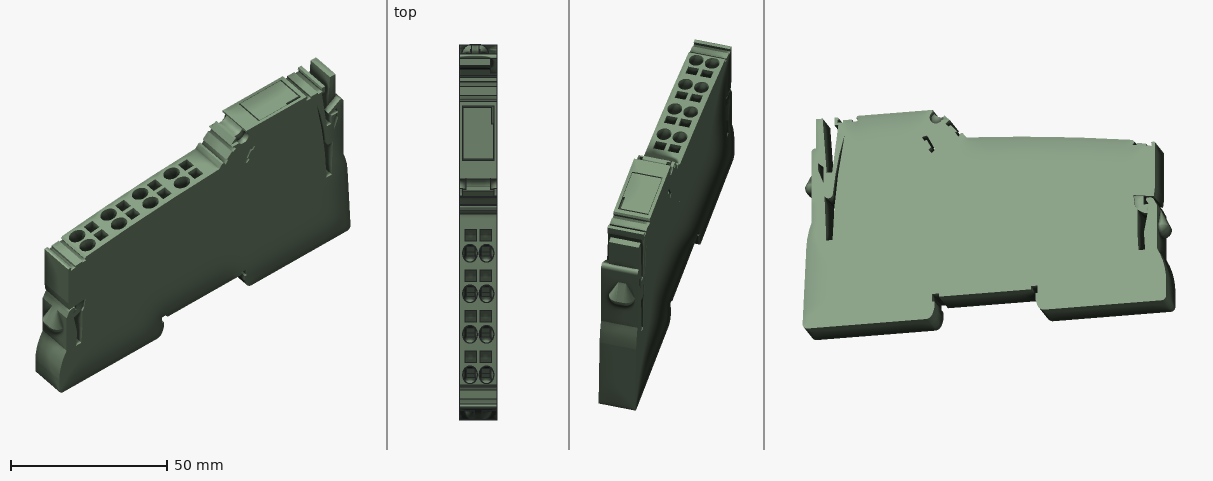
import cadquery as cq


WIDTH = 12.1
LENGTH = 120.1
HEIGHT = 70.4
HALF_LENGTH = LENGTH / 2

RAIL_CENTER = -0.2
RAIL_LIP = 16.7
RAIL_UNDERCUT = 17.4
RAIL_STEP = 15.3
RAIL_ROOF = 7.2
RAIL_POCKET = 8.3
RAIL_LIP_TOP = 5.8
RAIL_LIP_BASE = 3.6
RAIL_CORNER_START = 19.1
FOOT_FILLET = 1.6

SEAM_BACK = (46.1, 64.3)
SEAM_CREST = (20.2, 64.3)
SEAM_FOOT = (9.2, 44.1)
SEAM_FRONT = (-56.0, 35.3)

BACK_ARM_FACE = 57.0
FRONT_ARM_FACE = -57.0
BACK_HOOK_TOP = (55.6, 60.5)
BACK_HOOK_TIP = (53.5, 58.1)
BACK_CATCH = [(53.5, 57.5), (54.9, 57.5)]
BACK_CONTACT = [(53.1, 48.6), (52.7, 44.2)]
FRONT_CATCH = [(-54.2, 33.1), (-54.2, 31.8), (-53.9, 29.9)]
FRONT_LATCH_BACK = [(-50.6, 31.5), (-49.7, 32.5)]
FRONT_LATCH_ROOT = -49.2
FRONT_LATCH_NOSE = -52.4
FRONT_LATCH_INSET = 0.6

FINGER_START = 3.8
FINGER_CLEARANCE_BASE = 55.5
LEVER_FRONT = 51.6

GRIP_RADIUS = 3.0
GRIP_RIB = 2.5
GRIP_LENGTH = 5.9
BACK_GRIP_X = -1.0
BACK_GRIP_Z = 48.6
FRONT_GRIP_X = 0.0
FRONT_GRIP_Z = 26.3
FRONT_ARM_BEVEL_TOP = 33.9

HINGE_BORE_CENTER = (15.9, 67.9)
HINGE_BORE_RADIUS = 2.2
HINGE_CORE_WIDTH = 7.9
HINGE_LIP_WIDTH = 10.1
HINGE_SHELF = 66.8
HINGE_LIP_FRONT = 11.4

TERMINAL_ROWS = 4
TERMINAL_PITCH = 13.0
FIRST_SQUARE_Y = -1.0
SQUARE_X = 2.4
SQUARE_SIZE = 3.6
SQUARE_DEPTH = 6.0
SQUARE_FLOOR_RISE = 0.2
ROUND_OFFSET = 5.8
ROUND_X = 2.6
ROUND_LENGTH = 5.6
ROUND_WIDTH = 4.7
ROUND_DEPTH = 8.4
ROUND_FLOOR_WIDTH = 2.8
ROUND_FLOOR_X = 2.4
ROUND_STEP_HEIGHT = 0.4
ROUND_STEP_OFFSET = 0.4
ROUND_BACK_SLOPE = 0.7
ROUND_FRONT_SLOPE = 1.9
TOP_BACK = (5.9, 60.2)
TOP_MIDDLE = (-21.6, 58.1)
TOP_FRONT = (-48.9, 54.9)

MARKER_CENTER_Y = 31.7
RECESS_LENGTH = 17.5
RECESS_WIDTH = 10.1
MARKER_DEPTH = 1.2
MARKER_END_GAP = 0.5
MARKER_SIDE_GAP = 0.1
PRY_NOTCH_WIDTH = 0.7
PRY_NOTCH_LENGTH = 5.3


def seam_z(y):
    """Height of the long straight front stretch of the seam at y."""
    slope = (SEAM_FOOT[1] - SEAM_FRONT[1]) / (SEAM_FOOT[0] - SEAM_FRONT[0])
    return SEAM_FRONT[1] + slope * (y - SEAM_FRONT[0])


def steep_seam_y(z):
    """Y of the steep stretch of the seam at height z."""
    slope = (SEAM_CREST[0] - SEAM_FOOT[0]) / (SEAM_CREST[1] - SEAM_FOOT[1])
    return SEAM_FOOT[0] + slope * (z - SEAM_FOOT[1])


def across(outline, x_from=-WIDTH / 2, x_to=WIDTH / 2):
    """Close a Y-Z outline and extrude it along X between two planes."""
    return outline.close().extrude(x_to - x_from).translate((x_from, 0, 0))


def box(x_from, x_to, y_from, y_to, z_from, z_to):
    block = cq.Workplane("XY").box(x_to - x_from, y_to - y_from, z_to - z_from, centered=False)
    return block.translate((x_from, y_from, z_from))


def rail_side(side):
    """Points of one side of the rail cutout, from its lip up to its roof."""
    offsets = [
        (RAIL_LIP, RAIL_LIP_BASE),
        (RAIL_LIP, RAIL_LIP_TOP),
        (RAIL_UNDERCUT, RAIL_LIP_TOP),
        (RAIL_UNDERCUT, RAIL_POCKET),
        (RAIL_STEP, RAIL_POCKET),
        (RAIL_STEP, RAIL_ROOF),
    ]
    return [(RAIL_CENTER + side * y, z) for y, z in offsets]


def grip(x, y, z, side):
    """Teardrop grip on an arm face: a rib between two halves of a cone on a ball."""

    def profile():
        return (
            cq.Workplane("YZ")
            .moveTo(0, GRIP_LENGTH)
            .lineTo(side * GRIP_RADIUS, 0)
            .radiusArc((0, -GRIP_RADIUS), side * GRIP_RADIUS)
            .close()
        )

    rib = profile().extrude(GRIP_RIB / 2, both=True)
    teardrop = profile().revolve(360, (0, 0, 0), (0, 1, 0))
    solid = rib
    for end in (-1, 1):
        solid = solid.union(teardrop.translate((end * GRIP_RIB / 2, 0, 0)))
    outer_half = box(
        -WIDTH / 2, WIDTH / 2,
        min(0, side * GRIP_RADIUS), max(0, side * GRIP_RADIUS),
        -GRIP_RADIUS, GRIP_LENGTH,
    )
    return solid.intersect(outer_half).translate((x, y, z))


def make_housing():
    corner_y = RAIL_CORNER_START
    bevel_base = FRONT_GRIP_Z + GRIP_LENGTH
    bevel_top_y = FRONT_ARM_FACE + (FRONT_ARM_BEVEL_TOP - bevel_base) * GRIP_RADIUS / GRIP_LENGTH
    outline = (
        cq.Workplane("YZ")
        .moveTo(HALF_LENGTH, 0)
        .lineTo(58.7, 27.4)
        .tangentArcPoint((BACK_ARM_FACE, 35.5), relative=False)
        .lineTo(BACK_ARM_FACE, 59.2)
        .tangentArcPoint(BACK_HOOK_TOP, relative=False)
        .lineTo(*BACK_HOOK_TIP)
        .polyline(BACK_CATCH, includeCurrent=True)
        .lineTo(54.9, 53.2)
        .polyline(BACK_CONTACT, includeCurrent=True)
        .lineTo(52.2, 32.4)
        .lineTo(52.2, 29.2)
        .lineTo(50.1, 29.2)
        .threePointArc((48.6, 48.0), (46.4, 62.5))
        .lineTo(*SEAM_BACK)
        .lineTo(*SEAM_CREST)
        .lineTo(steep_seam_y(61.9), 61.9)
        .lineTo(20.5, 61.5)
        .lineTo(19.8, 60.2)
        .lineTo(19.0, 60.4)
        .lineTo(17.5, 57.8)
        .lineTo(18.4, 57.0)
        .lineTo(17.3, 55.8)
        .lineTo(steep_seam_y(56.9), 56.9)
        .lineTo(*SEAM_FOOT)
        .lineTo(FRONT_LATCH_ROOT, seam_z(FRONT_LATCH_ROOT))
        .polyline(FRONT_LATCH_BACK[::-1], includeCurrent=True)
        .lineTo(-50.6, 23.8)
        .lineTo(-50.9, 17.5)
        .lineTo(-53.1, 17.5)
        .lineTo(-52.7, 23.4)
        .polyline(FRONT_CATCH[::-1], includeCurrent=True)
        .lineTo(-53.3, 34.2)
        .lineTo(-53.6, 35.1)
        .lineTo(-54.8, 35.1)
        .threePointArc((-55.7, 34.6), (bevel_top_y, FRONT_ARM_BEVEL_TOP))
        .lineTo(FRONT_ARM_FACE, bevel_base)
        .lineTo(FRONT_ARM_FACE, 17.7)
        .threePointArc((-59.1, 13.0), (-HALF_LENGTH, 6.5))
        .lineTo(-HALF_LENGTH, 0)
        .lineTo(RAIL_CENTER - corner_y, 0)
        .threePointArc((-18.1, 0.7), (-17.5, 1.7))
        .polyline(rail_side(-1), includeCurrent=True)
        .polyline(rail_side(1)[::-1], includeCurrent=True)
        .lineTo(17.0, 1.7)
        .threePointArc((17.7, 0.7), (RAIL_CENTER + corner_y, 0))
    )
    body = across(outline)
    for y in (-HALF_LENGTH, HALF_LENGTH):
        corner = cq.selectors.BoxSelector((-WIDTH, y - 0.1, -0.1), (WIDTH, y + 0.1, 0.1))
        body = body.edges(corner).fillet(FOOT_FILLET)

    finger = cq.Workplane("YZ").polyline(
        [BACK_HOOK_TOP, (50.9, 57.3), (51.3, 56.0), *BACK_CATCH]
    )
    body = body.union(across(finger, FINGER_START))
    body = body.union(grip(BACK_GRIP_X, BACK_ARM_FACE, BACK_GRIP_Z, 1))
    return body.union(grip(FRONT_GRIP_X, FRONT_ARM_FACE, FRONT_GRIP_Z, -1))


def connector_blank():
    outline = (
        cq.Workplane("YZ")
        .moveTo(55.6, HEIGHT)
        .lineTo(53.3, HEIGHT)
        .lineTo(52.0, 52.0)
        .lineTo(50.2, 52.0)
        .lineTo(48.2, 67.9)
        .lineTo(49.5, 67.9)
        .lineTo(49.5, HEIGHT)
        .lineTo(48.3, HEIGHT)
        .lineTo(48.0, 69.7)
        .lineTo(48.4, 69.4)
        .lineTo(48.4, 68.6)
        .lineTo(46.6, 68.6)
        .lineTo(46.6, 69.3)
        .lineTo(43.7, 69.3)
        .lineTo(43.7, 68.6)
        .lineTo(41.9, 68.6)
        .lineTo(41.9, 69.4)
        .lineTo(42.3, 69.7)
        .lineTo(41.9, HEIGHT)
        .lineTo(17.0, HEIGHT)
        .lineTo(17.0, 69.8)
        .threePointArc((16.1, 68.8), (14.7, 68.3))
        .lineTo(13.2, 68.5)
        .lineTo(HINGE_LIP_FRONT, 66.5)
        .lineTo(12.9, 65.3)
        .lineTo(11.8, 64.4)
        .lineTo(11.0, 64.7)
        .lineTo(8.9, 62.5)
        .lineTo(9.6, 62.2)
        .lineTo(8.5, 60.7)
        .lineTo(7.8, 61.7)
        .lineTo(7.1, 61.7)
        .lineTo(*TOP_BACK)
        .threePointArc(TOP_MIDDLE, TOP_FRONT)
        .lineTo(-49.6, 54.3)
        .lineTo(-49.0, 53.2)
        .lineTo(-50.5, 53.1)
        .lineTo(-50.5, 53.7)
        .lineTo(-53.3, 53.3)
        .lineTo(-53.5, 52.6)
        .lineTo(-55.2, 52.4)
        .lineTo(-55.2, 53.2)
        .lineTo(-55.0, 53.6)
        .lineTo(-55.8, 53.8)
        .lineTo(-56.3, 53.6)
        .lineTo(-56.3, 38.3)
        .lineTo(*SEAM_FRONT)
        .lineTo(*SEAM_FOOT)
        .lineTo(*SEAM_CREST)
        .lineTo(*SEAM_BACK)
        .threePointArc((48.5, 54.5), (50.0, 44.7))
        .threePointArc((51.3, 43.4), BACK_CONTACT[1])
        .lineTo(*BACK_CONTACT[0])
        .lineTo(53.1, 54.0)
        .lineTo(54.9, 55.5)
        .polyline(BACK_CATCH[::-1], includeCurrent=True)
        .lineTo(*BACK_HOOK_TIP)
        .lineTo(*BACK_HOOK_TOP)
    )
    return across(outline)


def front_latch():
    """Hook below the front of the connector, set in from both outer faces."""
    outline = (
        cq.Workplane("YZ")
        .moveTo(FRONT_LATCH_NOSE, seam_z(FRONT_LATCH_NOSE))
        .lineTo(FRONT_LATCH_NOSE, 32.9)
        .polyline(FRONT_CATCH, includeCurrent=True)
        .threePointArc((-52.1, 30.4), FRONT_LATCH_BACK[0])
        .lineTo(*FRONT_LATCH_BACK[1])
        .lineTo(FRONT_LATCH_ROOT, seam_z(FRONT_LATCH_ROOT))
    )
    half_width = WIDTH / 2 - FRONT_LATCH_INSET
    return across(outline, -half_width, half_width)


def hinge_side_cuts():
    """Bore ends beside the hinge core and lower shelves at the outer faces."""
    bore_y, bore_z = HINGE_BORE_CENTER
    cuts = []
    for side in (-1, 1):
        core = side * HINGE_CORE_WIDTH / 2
        lip = side * HINGE_LIP_WIDTH / 2
        face = side * WIDTH / 2
        bore = cq.Workplane("YZ").center(bore_y, bore_z).circle(HINGE_BORE_RADIUS)
        cuts.append(bore.extrude(face - core).translate((core, 0, 0)))
        cuts.append(box(min(lip, face), max(lip, face), HINGE_LIP_FRONT, bore_y, HINGE_SHELF, HEIGHT))
    return cuts


def terminal_surface_z(y):
    """Approximate height of the arched terminal face, taken on its chord."""
    slope = (TOP_BACK[1] - TOP_FRONT[1]) / (TOP_BACK[0] - TOP_FRONT[0])
    return TOP_FRONT[1] + slope * (y - TOP_FRONT[0])


def square_opening(x, y):
    """Square tool opening with a shallow V floor."""
    half = SQUARE_SIZE / 2
    floor = terminal_surface_z(y) - SQUARE_DEPTH
    outline = cq.Workplane("YZ").polyline([
        (y - half, HEIGHT),
        (y + half, HEIGHT),
        (y + half, floor + SQUARE_FLOOR_RISE),
        (y, floor),
        (y - half, floor + SQUARE_FLOOR_RISE),
    ])
    return across(outline, x - half, x + half)


def round_opening(y, side):
    """Oval wire opening whose four inner walls slope in to a narrow stepped floor."""
    x = side * ROUND_X
    mouth = terminal_surface_z(y)
    floor = mouth - ROUND_DEPTH
    half_length = ROUND_LENGTH / 2
    half_width = ROUND_WIDTH / 2
    half_floor = ROUND_FLOOR_WIDTH / 2
    floor_x = side * ROUND_FLOOR_X
    step_y = y + ROUND_STEP_OFFSET
    step_z = floor + ROUND_STEP_HEIGHT
    oval = (
        cq.Workplane("XY", origin=(x, y, floor))
        .ellipse(half_width, half_length)
        .extrude(HEIGHT - floor)
    )
    lengthwise = cq.Workplane("YZ").polyline([
        (y - half_length, HEIGHT),
        (y + half_length, HEIGHT),
        (y + half_length, mouth),
        (y + half_length - ROUND_BACK_SLOPE, floor),
        (step_y, floor),
        (step_y, step_z),
        (y - half_length + ROUND_FRONT_SLOPE, step_z),
        (y - half_length, mouth),
    ])
    crosswise = cq.Workplane("XZ").polyline([
        (x - half_width, HEIGHT),
        (x + half_width, HEIGHT),
        (x + half_width, mouth),
        (floor_x + half_floor, floor),
        (floor_x - half_floor, floor),
        (x - half_width, mouth),
    ])
    return oval.intersect(across(lengthwise)).intersect(crosswise.close().extrude(LENGTH, both=True))


def marker_recess():
    return box(
        -RECESS_WIDTH / 2, RECESS_WIDTH / 2,
        MARKER_CENTER_Y - RECESS_LENGTH / 2, MARKER_CENTER_Y + RECESS_LENGTH / 2,
        HEIGHT - MARKER_DEPTH, HEIGHT,
    )


def make_connector():
    body = connector_blank().union(front_latch())
    for cut in hinge_side_cuts():
        body = body.cut(cut)
    for row in range(TERMINAL_ROWS):
        square_y = FIRST_SQUARE_Y - row * TERMINAL_PITCH
        for side in (-1, 1):
            body = body.cut(square_opening(side * SQUARE_X, square_y))
            body = body.cut(round_opening(square_y - ROUND_OFFSET, side))
    finger_clearance = box(
        FINGER_START, WIDTH / 2, LEVER_FRONT, BACK_ARM_FACE, FINGER_CLEARANCE_BASE, HEIGHT
    )
    return body.cut(finger_clearance).cut(marker_recess())


def make_marker():
    half_width = RECESS_WIDTH / 2 - MARKER_SIDE_GAP
    back = MARKER_CENTER_Y + RECESS_LENGTH / 2 - MARKER_END_GAP
    front = MARKER_CENTER_Y - RECESS_LENGTH / 2 + MARKER_END_GAP
    base = HEIGHT - MARKER_DEPTH
    plate = box(-half_width, half_width, front, back, base, HEIGHT)
    notch = box(half_width - PRY_NOTCH_WIDTH, half_width, back - PRY_NOTCH_LENGTH, back, base, HEIGHT)
    return plate.cut(notch)


housing = make_housing()
connector = make_connector()
marker = make_marker()

result = cq.Compound.makeCompound([body.solids().val() for body in (housing, connector, marker)])